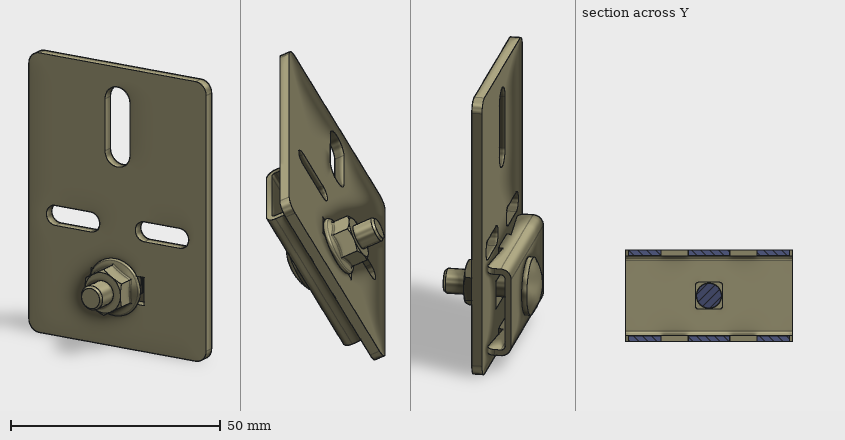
import cadquery as cq
import math

plate_width = 50.0
plate_height = 70.0
plate_thickness = 2.5
plate_corner_radius = 3.0

tall_slot_width = 7.0
tall_slot_length = 20.0
tall_slot_z = 20.0
side_slot_width = 5.0
side_slot_length = 15.0
side_slot_x = 12.5
side_slot_z = -5.0
window_width = 15.0
window_height = 7.0
window_z = -19.95

axis_x = -0.4
axis_z = window_z

bracket_length = 40.0
bracket_height = 22.0
bracket_depth = 6.0
sheet_thickness = 1.5
bend_outer_radius = 2.5
foot_radius = 2.0
foot_angle = 5.0
tab_width = 10.0

shank_diameter = 6.0
tip_y = -11.5
tip_chamfer_length = 0.6
tip_chamfer_depth = 0.5
head_diameter = 14.0
head_rim_height = 1.25
head_height = 3.5
neck_width = 6.45
neck_corner_radius = 0.7
neck_height = 1.95

nut_height = 6.0
nut_across_flats = 10.0
nut_flange_diameter = 14.3
nut_rim_radius = 0.55
nut_cone_angle = 22.0
nut_root_radius = 0.4
nut_chamfer_angle = 30.0

plate_back_y = plate_thickness
bracket_back_y = plate_back_y + bracket_depth
nut_rim_centre_r = nut_flange_diameter / 2 - nut_rim_radius


def front_workplane(y):
    """Sketch plane at Y = y with local x = X, local y = Z and its normal along -Y."""
    return cq.Workplane("XZ", origin=(0, y, 0))


def revolve_about_bolt_axis(profile):
    """Turn a closed (radius, Y) profile about the bolt axis."""
    turned = profile.revolve(360, (0, 0, 0), (0, 1, 0))
    return turned.translate((axis_x, 0, axis_z))


def square_neck():
    """Square neck with rounded corners, from the back of the bracket towards the plate."""
    return (
        front_workplane(bracket_back_y)
        .center(axis_x, axis_z)
        .rect(neck_width, neck_width)
        .extrude(neck_height)
        .edges("|Y")
        .fillet(neck_corner_radius)
    )


def make_plate():
    plate = (
        front_workplane(plate_back_y)
        .rect(plate_width, plate_height)
        .extrude(plate_thickness)
        .edges("|Y")
        .fillet(plate_corner_radius)
    )
    tall_slot = (
        front_workplane(plate_back_y)
        .center(0, tall_slot_z)
        .slot2D(tall_slot_length, tall_slot_width, 90)
        .extrude(plate_thickness)
    )
    side_slots = (
        front_workplane(plate_back_y)
        .pushPoints([(-side_slot_x, side_slot_z), (side_slot_x, side_slot_z)])
        .slot2D(side_slot_length, side_slot_width)
        .extrude(plate_thickness)
    )
    window = (
        front_workplane(plate_back_y)
        .center(0, window_z)
        .rect(window_width, window_height)
        .extrude(plate_thickness)
    )
    return plate.cut(tall_slot).cut(side_slots).cut(window)


def channel_blank():
    """Channel of constant section along X, open towards the plate."""
    half_height = bracket_height / 2
    inner_half_height = half_height - sheet_thickness
    web_front_y = bracket_back_y - sheet_thickness

    def rounded_bar(y_end, half_z, bend_radius):
        section = cq.Workplane("YZ").center((plate_back_y + y_end) / 2, axis_z)
        return (
            section.rect(y_end - plate_back_y, 2 * half_z)
            .extrude(bracket_length / 2, both=True)
            .edges("|X and >Y")
            .fillet(bend_radius)
            .translate((axis_x, 0, 0))
        )

    outside = rounded_bar(bracket_back_y, half_height, bend_outer_radius)
    inside = rounded_bar(web_front_y, inner_half_height, bend_outer_radius - sheet_thickness)
    return outside.cut(inside)


def bracket_side_outline():
    """Outline in X and Y: rounded feet at both ends, sloping up to a square tab in the middle."""
    slope = math.radians(foot_angle)
    half_length = bracket_length / 2
    half_tab = tab_width / 2
    foot_x = half_length - foot_radius
    foot_y = plate_back_y + foot_radius

    def on_foot(angle):
        return foot_x + foot_radius * math.sin(angle), foot_y - foot_radius * math.cos(angle)

    def mirrored(point):
        return -point[0], point[1]

    arc_start = on_foot(math.pi / 2)
    arc_middle = on_foot(math.pi / 4)
    arc_end = on_foot(-slope)
    notch_top = (half_tab, arc_end[1] + (arc_end[0] - half_tab) * math.tan(slope))
    tab_corner = (half_tab, plate_back_y)
    return (
        cq.Workplane("XY", origin=(axis_x, 0, axis_z))
        .moveTo(half_length, bracket_back_y)
        .lineTo(*arc_start)
        .threePointArc(arc_middle, arc_end)
        .lineTo(*notch_top)
        .lineTo(*tab_corner)
        .lineTo(*mirrored(tab_corner))
        .lineTo(*mirrored(notch_top))
        .lineTo(*mirrored(arc_end))
        .threePointArc(mirrored(arc_middle), mirrored(arc_start))
        .lineTo(-half_length, bracket_back_y)
        .close()
    )


def make_bracket():
    side_shape = bracket_side_outline().extrude(bracket_height / 2, both=True)
    return channel_blank().intersect(side_shape).cut(square_neck())


def make_bolt():
    head_radius = head_diameter / 2
    shank_radius = shank_diameter / 2
    rim_y = bracket_back_y + head_rim_height
    top_y = bracket_back_y + head_height
    dome_height = head_height - head_rim_height
    dome_radius = (head_radius**2 + dome_height**2) / (2 * dome_height)
    dome_middle_r = head_radius / 2
    dome_middle_y = top_y - dome_radius + math.sqrt(dome_radius**2 - dome_middle_r**2)
    turned = revolve_about_bolt_axis(
        cq.Workplane("XY")
        .moveTo(0, tip_y)
        .lineTo(shank_radius - tip_chamfer_depth, tip_y)
        .lineTo(shank_radius, tip_y + tip_chamfer_length)
        .lineTo(shank_radius, bracket_back_y)
        .lineTo(head_radius, bracket_back_y)
        .lineTo(head_radius, rim_y)
        .threePointArc((dome_middle_r, dome_middle_y), (0, top_y))
        .close()
    )
    return turned.union(square_neck())


def nut_flange():
    """Round flange with a rounded rim, rising as a cone into the hexagon."""
    cone = math.radians(nut_cone_angle)
    rim_end_r = nut_rim_centre_r + nut_rim_radius * math.sin(cone)
    rim_end_y = -nut_rim_radius * (1 + math.cos(cone))
    cone_top_r = shank_diameter / 2
    cone_top_y = rim_end_y - (rim_end_r - cone_top_r) * math.tan(cone)
    return revolve_about_bolt_axis(
        cq.Workplane("XY")
        .lineTo(nut_rim_centre_r, 0)
        .threePointArc((nut_flange_diameter / 2, -nut_rim_radius), (rim_end_r, rim_end_y))
        .lineTo(cone_top_r, cone_top_y)
        .lineTo(0, cone_top_y)
        .close()
    )


def nut_hexagon():
    """Hexagon with two points along Z, its outer end cut by a cone."""
    corner_radius = nut_across_flats / math.sqrt(3)
    face_radius = nut_across_flats / 2
    chamfer_length = (corner_radius - face_radius) * math.tan(math.radians(nut_chamfer_angle))
    hexagon = (
        front_workplane(0)
        .polygon(6, 2 * corner_radius)
        .extrude(nut_height)
        .rotate((0, 0, 0), (0, 1, 0), 90)
        .translate((axis_x, 0, axis_z))
    )
    chamfered_envelope = revolve_about_bolt_axis(
        cq.Workplane("XY")
        .lineTo(corner_radius, 0)
        .lineTo(corner_radius, chamfer_length - nut_height)
        .lineTo(face_radius, -nut_height)
        .lineTo(0, -nut_height)
        .close()
    )
    return hexagon.intersect(chamfered_envelope)


def make_nut():
    bore = (
        front_workplane(0)
        .center(axis_x, axis_z)
        .circle(shank_diameter / 2)
        .extrude(nut_height)
    )
    blank = nut_hexagon().union(nut_flange())
    root_zone = cq.selectors.BoxSelector(
        (axis_x - nut_rim_centre_r, -nut_height / 2, axis_z - nut_rim_centre_r),
        (axis_x + nut_rim_centre_r, -nut_rim_radius, axis_z + nut_rim_centre_r),
        boundingbox=True,
    )
    return blank.edges(root_zone).fillet(nut_root_radius).cut(bore)


plate = make_plate()
bracket = make_bracket()
bolt = make_bolt()
nut = make_nut()

result = cq.Compound.makeCompound([plate.val(), bracket.val(), bolt.val(), nut.val()])